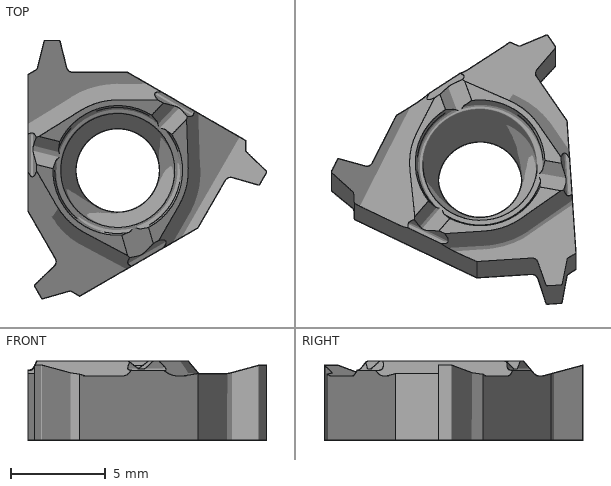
import cadquery as cq
import math

HEIGHT = 4.2
FLOOR_Z = 3.4
LEDGE_Z = 3.7

TEETH = 3
TURNS = [i * 360 / TEETH for i in range(TEETH)]
SIDE_DISTANCE = 4.76
FRONT_DISTANCE = 5.2
SHOULDER_Y = 5.07
SHOULDER_ANGLE = 30

TIP_Y = 6.88
TIP_CENTRE_X = -3.47
TIP_WIDTH = 0.83
FLANK_ANGLE = 14
TIP_RADIUS = 0.08
SHOULDER_RADIUS = 0.14
ROOT_RADIUS = 0.33

RAKE_HEEL_Y = 4.73
RAKE_ANGLE = 15
RAKE_BLEND = 0.075

BOSS_TOP_RADIUS = 3.73
BOSS_TAPER = 40
BOSS_FOOT_RADIUS = 0.44
BOSS_ARC_START = 90
BOSS_ARC_END = 122

BORE_RADIUS = 4.4 / 2
BORE_TOP_Z = 0.9
SEAT_RADIUS = 2.19
SEAT_ANGLE = 46
SEAT_BLEND_RADIUS = 0.48
RIM_TOP_RADIUS = 3.43
RIM_WALL_RADIUS = 3.34
RIM_FLOOR_Z = 3.76
RIM_FILLET = 0.19
RIM_EDGE_ROUND = 0.05

NOTCH_ANGLE = 166
NOTCH_TOP_WIDTH = 1.48
NOTCH_FLOOR_WIDTH = 0.31
NOTCH_FILLET = 0.38

LEDGE_WIDTH = 0.26
COVE_LEAN = 23
COVE_RADIUS = 0.16
COVE_START_Y = -0.4
COVE_END_Y = 2.05

CLEARANCE = 0.14
REACH = 10.94


def polar(radius, angle):
    """Point in the XY plane at the given radius and angle in degrees."""
    return radius * math.cos(math.radians(angle)), radius * math.sin(math.radians(angle))


def turned(point, angle):
    """Point turned about the bore axis."""
    x, y = point
    c, s = polar(1, angle)
    return x * c - y * s, x * s + y * c


def around_axis(shape):
    """Union of the copies of a shape at every tooth position."""
    copies = cq.Workplane("XY")
    for angle in TURNS:
        copies = copies.union(shape.rotate((0, 0, 0), (0, 0, 1), angle))
    return copies


def outline_corners():
    """Sharp corners of one third of the outline, and the radius of each."""
    flank = math.tan(math.radians(FLANK_ANGLE))
    rise = math.tan(math.radians(SHOULDER_ANGLE))
    tip_left = TIP_CENTRE_X - TIP_WIDTH / 2
    tip_right = TIP_CENTRE_X + TIP_WIDTH / 2
    tip_above_shoulder = TIP_Y - SHOULDER_Y - rise * (tip_left + SIDE_DISTANCE)
    shoulder_drop = tip_above_shoulder / (1 - rise * flank)
    normal_x, normal_y = polar(1, 180 - 360 / TEETH)
    return [
        ((-SIDE_DISTANCE, SHOULDER_Y), 0),
        ((tip_left - flank * shoulder_drop, TIP_Y - shoulder_drop), SHOULDER_RADIUS),
        ((tip_left, TIP_Y), TIP_RADIUS),
        ((tip_right, TIP_Y), TIP_RADIUS),
        ((tip_right + flank * (TIP_Y - FRONT_DISTANCE), FRONT_DISTANCE), ROOT_RADIUS),
        (((SIDE_DISTANCE - normal_y * FRONT_DISTANCE) / normal_x, FRONT_DISTANCE), 0),
    ]


def body_prism():
    """Full-height prism over the toothed outline."""
    corners = []
    for angle in reversed(TURNS):
        corners += [(turned(point, angle), radius) for point, radius in outline_corners()]
    prism = cq.Workplane("XY").polyline([point for point, _ in corners]).close().extrude(HEIGHT)
    for (x, y), radius in corners:
        if radius:
            corner_edge = cq.selectors.NearestToPointSelector((x, y, HEIGHT / 2))
            prism = prism.edges("|Z").edges(corner_edge).fillet(radius)
    return prism


def rake_wedge():
    """Sloped tooth top, blended tangentially into the floor."""
    climb_x, climb_z = polar(1, RAKE_ANGLE)
    heel = RAKE_HEEL_Y
    run = REACH - heel
    return (
        cq.Workplane("YZ", origin=(-REACH, 0, 0))
        .moveTo(0, 0)
        .lineTo(0, FLOOR_Z)
        .lineTo(heel - RAKE_BLEND, FLOOR_Z)
        .tangentArcPoint((heel + RAKE_BLEND * climb_x, FLOOR_Z + RAKE_BLEND * climb_z), relative=False)
        .lineTo(REACH, FLOOR_Z + run * math.tan(math.radians(RAKE_ANGLE)))
        .lineTo(REACH, 0)
        .close()
        .extrude(2 * REACH)
    )


def boss_on_floor():
    """Tapered boss of arcs and tangent flats standing on the floor with a rounded foot."""
    foot_radius = BOSS_TOP_RADIUS + (HEIGHT - FLOOR_Z) * math.tan(math.radians(BOSS_TAPER))
    next_arc_start = BOSS_ARC_START + 360 / TEETH
    corner_angle = (BOSS_ARC_END + next_arc_start) / 2
    corner_radius = foot_radius / math.cos(math.radians(next_arc_start - corner_angle))
    arc_middle = (BOSS_ARC_START + BOSS_ARC_END) / 2
    outline = cq.Workplane("XY", origin=(0, 0, FLOOR_Z)).moveTo(*polar(foot_radius, BOSS_ARC_START))
    for angle in TURNS:
        outline = outline.threePointArc(
            polar(foot_radius, arc_middle + angle), polar(foot_radius, BOSS_ARC_END + angle)
        )
        outline = outline.lineTo(*polar(corner_radius, corner_angle + angle))
        outline = outline.lineTo(*polar(foot_radius, next_arc_start + angle))
    boss = outline.close().extrude(HEIGHT - FLOOR_Z, taper=BOSS_TAPER)
    floor = cq.Workplane("XY").circle(REACH).extrude(FLOOR_Z)
    inner = REACH - CLEARANCE
    in_foot = cq.selectors.BoxSelector(
        (-inner, -inner, FLOOR_Z - CLEARANCE), (inner, inner, FLOOR_Z + CLEARANCE), boundingbox=True
    )
    return floor.union(boss).edges(in_foot).fillet(BOSS_FOOT_RADIUS)


def bore_cutter():
    """Through bore, convex screw seat, upper wall and stepped rim."""
    seat_cos, seat_sin = polar(1, SEAT_ANGLE)
    half_cos, half_sin = polar(1, SEAT_ANGLE / 2)
    seat_r = BORE_RADIUS + SEAT_RADIUS * (1 - seat_cos)
    seat_z = BORE_TOP_Z + SEAT_RADIUS * seat_sin
    wall_r = seat_r + SEAT_BLEND_RADIUS * (1 - seat_cos)
    wall_z = seat_z + SEAT_BLEND_RADIUS * seat_sin
    seat_middle = (BORE_RADIUS + SEAT_RADIUS * (1 - half_cos), BORE_TOP_Z + SEAT_RADIUS * half_sin)
    return (
        cq.Workplane("XZ")
        .lineTo(BORE_RADIUS, 0)
        .lineTo(BORE_RADIUS, BORE_TOP_Z)
        .threePointArc(seat_middle, (seat_r, seat_z))
        .tangentArcPoint((wall_r, wall_z), relative=False)
        .lineTo(wall_r, RIM_FLOOR_Z - RIM_EDGE_ROUND)
        .tangentArcPoint((wall_r + RIM_EDGE_ROUND, RIM_FLOOR_Z), relative=False)
        .lineTo(RIM_WALL_RADIUS - RIM_FILLET, RIM_FLOOR_Z)
        .tangentArcPoint((RIM_WALL_RADIUS, RIM_FLOOR_Z + RIM_FILLET), relative=False)
        .lineTo(RIM_TOP_RADIUS, HEIGHT)
        .lineTo(0, HEIGHT)
        .close()
        .revolve(360, (0, 0, 0), (0, 1, 0))
    )


def notch_cutter():
    """Flat-bottomed V notch with rounded lower corners, running outwards from the bore."""
    notch = (
        cq.Workplane("YZ")
        .polyline([
            (-NOTCH_FLOOR_WIDTH / 2, RIM_FLOOR_Z),
            (NOTCH_FLOOR_WIDTH / 2, RIM_FLOOR_Z),
            (NOTCH_TOP_WIDTH / 2, HEIGHT),
            (-NOTCH_TOP_WIDTH / 2, HEIGHT),
        ])
        .close()
        .extrude(REACH)
        .edges("|X and <Z")
        .fillet(NOTCH_FILLET)
    )
    return notch.rotate((0, 0, 0), (0, 0, 1), NOTCH_ANGLE)


def cove_cutter():
    """Ledge with a coved, leaning back and rounded ends, cut into the boss along a side wall."""
    outside = -SIDE_DISTANCE - CLEARANCE
    above = HEIGHT + CLEARANCE
    lean = math.tan(math.radians(COVE_LEAN))
    back_foot = -SIDE_DISTANCE + LEDGE_WIDTH
    cutter = (
        cq.Workplane("XZ", origin=(0, COVE_END_Y, 0))
        .polyline([
            (outside, LEDGE_Z),
            (back_foot, LEDGE_Z),
            (back_foot + lean * (above - LEDGE_Z), above),
            (outside, above),
        ])
        .close()
        .extrude(COVE_END_Y - COVE_START_Y)
    )
    foot_edges = cutter.faces("<Z").edges("not <X")
    back_edges = cutter.faces(">X").edges("not(|Y)")
    return foot_edges.add(back_edges).fillet(COVE_RADIUS)


top_form = boss_on_floor().union(around_axis(rake_wedge()))
result = body_prism().intersect(top_form)
result = result.cut(bore_cutter())
result = result.cut(around_axis(cove_cutter()))
result = result.cut(around_axis(notch_cutter()))